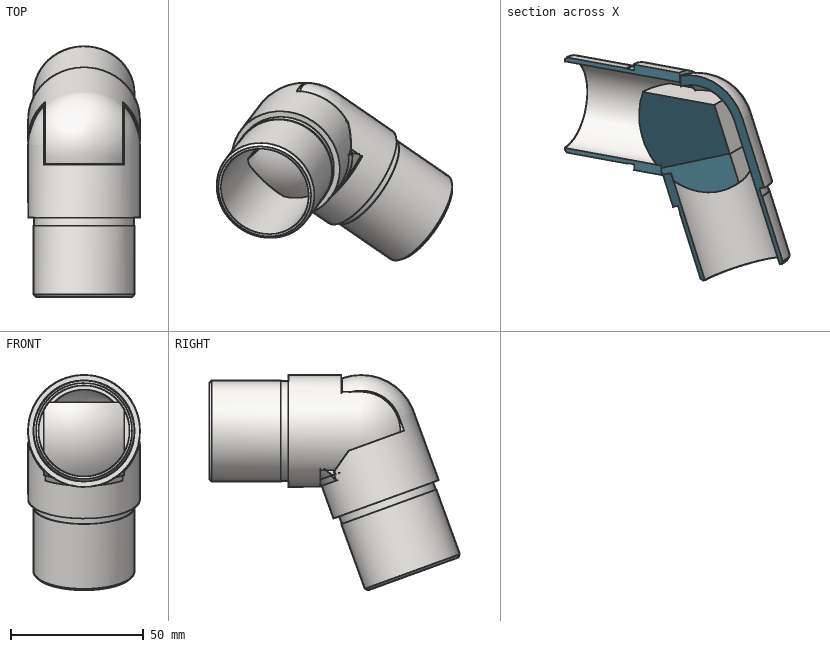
import cadquery as cq
import math

TILT = 20.0

COLLAR_END = 27.5
NECK_END = 30.5
ARM_END = 57.5

COLLAR_RADIUS = 21.2
COLLAR_WALL = 4.0
BORE_RADIUS = COLLAR_RADIUS - COLLAR_WALL
SPIGOT_RADIUS = 19.15
NECK_RADIUS = 18.95
SPIGOT_CHAMFER = 1.0

TONGUE_HALF_WIDTH = 14.7
FORK_GAP_HALF_WIDTH = 15.2
FORK_TOP_GAP_END = 7.5
FORK_BOTTOM_GAP_END = 15.5
TONGUE_FACE = 7.2
TONGUE_NOTCH_END = 14.4
SHOULDER = 5.4
MITRE_OFFSET = 0.4

CORE_RADIUS = 26.2
CORE_SHIFT = 1.39
CORE_FLAT = 10.86
PLUG_TOP = 12.0
PLUG_TOP_RADIUS = 22.0

REACH = 100.0

tilt = math.radians(TILT)
UP = cq.Vector(0, 0, 1)
FORK_AXIS = cq.Vector(0, -1, 0)
TONGUE_AXIS = cq.Vector(0, math.sin(tilt), -math.cos(tilt))
TONGUE_FRONT = cq.Vector(0, -math.cos(tilt), -math.sin(tilt))
BEND_INSIDE = (FORK_AXIS + TONGUE_AXIS).normalized()
MITRE_NORMAL = (TONGUE_AXIS - FORK_AXIS).normalized()


def half_space(normal, distance):
    """Block filling everything beyond a plane across normal, at a distance from the centre."""
    plane = cq.Plane(origin=normal * distance, xDir=(1, 0, 0), normal=normal)
    return cq.Workplane(plane).rect(2 * REACH, 2 * REACH).extrude(REACH)


def slab(half_width):
    """Block centred on the hinge with the given half width along X."""
    return cq.Workplane("XY").box(2 * half_width, 2 * REACH, 2 * REACH)


def ball(radius):
    return cq.Workplane("XY").sphere(radius)


def rod(axis, radius, start, end):
    """Cylinder along an arm axis between two stations."""
    plane = cq.Plane(origin=axis * start, xDir=(1, 0, 0), normal=axis)
    return cq.Workplane(plane).circle(radius).extrude(end - start)


def arm_outside(axis):
    """Domed collar, neck and chamfered spigot, all solid."""
    collar = rod(axis, COLLAR_RADIUS, 0, COLLAR_END).union(ball(COLLAR_RADIUS))
    neck = rod(axis, NECK_RADIUS, COLLAR_END, NECK_END)
    spigot = rod(axis, SPIGOT_RADIUS, NECK_END, ARM_END)
    spigot = spigot.faces(cq.selectors.DirectionMinMaxSelector(axis)).chamfer(SPIGOT_CHAMFER)
    return collar.union(neck).union(spigot)


def tongue_side():
    """Region below the shoulder and on the tongue side of the mitre."""
    return half_space(TONGUE_AXIS, SHOULDER).intersect(half_space(MITRE_NORMAL, MITRE_OFFSET))


def make_fork_arm():
    """Arm with two cheeks that straddle the tongue."""
    bore = rod(FORK_AXIS, BORE_RADIUS, FORK_TOP_GAP_END, ARM_END)
    crown_gap = slab(FORK_GAP_HALF_WIDTH).cut(half_space(FORK_AXIS, FORK_TOP_GAP_END))
    bottom_gap = slab(FORK_GAP_HALF_WIDTH).cut(half_space(FORK_AXIS, FORK_BOTTOM_GAP_END))
    bottom_gap = bottom_gap.intersect(half_space(UP * -1, 0))
    return arm_outside(FORK_AXIS).cut(bore).cut(crown_gap).cut(bottom_gap).cut(tongue_side())


def make_tongue_arm():
    """Arm with a hollow domed tongue that closes the outside of the bend."""
    tongue = slab(TONGUE_HALF_WIDTH)
    front = half_space(FORK_AXIS, TONGUE_FACE)
    notch = tongue.intersect(front).cut(half_space(TONGUE_AXIS, TONGUE_NOTCH_END))
    bore = rod(TONGUE_AXIS, BORE_RADIUS, 0, ARM_END)
    arm = arm_outside(TONGUE_AXIS).intersect(tongue.union(tongue_side()))
    return arm.cut(notch).cut(bore).cut(ball(BORE_RADIUS))


def core_ball():
    """Sphere that rounds the ends of both the core and the plug."""
    return ball(CORE_RADIUS).translate(BEND_INSIDE * -CORE_SHIFT)


def make_core(fork_arm, tongue_arm):
    """Ball-ended block between the arms, flattened on the outside of the bend."""
    core = core_ball().intersect(slab(FORK_GAP_HALF_WIDTH))
    core = core.cut(half_space(UP, CORE_FLAT))
    core = core.cut(half_space(TONGUE_FRONT * -1, CORE_FLAT))
    core = core.cut(half_space(TONGUE_AXIS, PLUG_TOP))
    return core.cut(fork_arm).cut(tongue_arm)


def make_plug(fork_arm, tongue_arm):
    """Ball-ended stop in the tongue arm, with a flared rim that fills the notch."""
    rim_plane = cq.Plane(origin=TONGUE_AXIS * PLUG_TOP, xDir=(1, 0, 0), normal=TONGUE_AXIS)
    rim_height = TONGUE_NOTCH_END - PLUG_TOP
    rim_flare = math.degrees(math.atan2(PLUG_TOP_RADIUS - COLLAR_RADIUS, rim_height))
    rim = cq.Workplane(rim_plane).circle(PLUG_TOP_RADIUS).extrude(rim_height, taper=rim_flare)
    end = core_ball().intersect(half_space(TONGUE_AXIS, TONGUE_NOTCH_END))
    plug = rim.union(end).intersect(slab(TONGUE_HALF_WIDTH))
    plug = plug.cut(half_space(TONGUE_FRONT * -1, CORE_FLAT))
    return plug.cut(fork_arm).cut(tongue_arm)


fork_arm = make_fork_arm()
tongue_arm = make_tongue_arm()
core = make_core(fork_arm, tongue_arm)
plug = make_plug(fork_arm, tongue_arm)

bodies = (fork_arm, tongue_arm, core, plug)
result = cq.Compound.makeCompound([body.solids().val() for body in bodies])